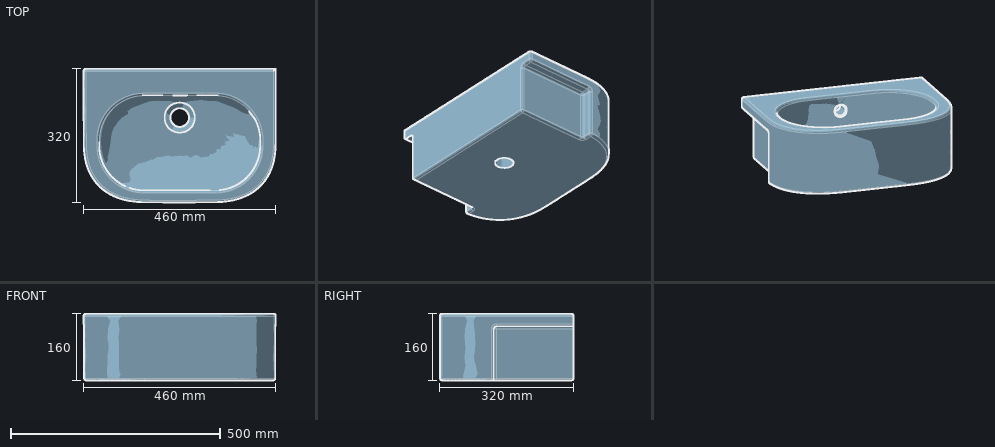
import math

import cadquery as cq

WIDTH = 460.0
DEPTH = 320.0
HEIGHT = 160.0
EDGE_RADIUS = 6.0
TOP_EDGE_RADIUS = 5.9

SIDE_CURVE = [
    (WIDTH / 2, 80.0),
    (229.9, 160.0),
    (224.0, 226.0),
    (190.5, 283.0),
    (130.0, 314.5),
    (60.0, DEPTH),
]

RECESS_DEPTH = 30.0
LIP_THICKNESS = 30.0
RECESS_LENGTH = 190.5
RECESS_CORNER_RADIUS = 6.0

MOUTH_LENGTH = 383.0
MOUTH_WIDTH = 226.0
MOUTH_CORNER_RADIUS = 107.0
MOUTH_BACK_MARGIN = 64.0
MOUTH_EDGE_RADIUS = 6.0
BOWL_DEPTH = 119.0
BOWL_SQUARENESS = 3.4
BOWL_SECTIONS = 7
DRAIN_OVAL_SIZE = 64.0
DRAIN_OVAL_CORNER_RADIUS = 26.0

DRAIN_FROM_BACK = 117.0
DRAIN_RADIUS = 22.0
DRAIN_SEAT_RADIUS = 36.6
DRAIN_SEAT_DEPTH = 9.0

OVERFLOW_RADIUS = 13.0
OVERFLOW_EDGE = 3.0
OVERFLOW_BELOW_TOP = 41.0
OVERFLOW_WALL_INSET = 0.5
OVERFLOW_LENGTH = 40.0

CORNER_STEPS = 8
STRAIGHT_STEPS = 4

CLEARANCE = 1.0

BACK_Y = DEPTH / 2
LIP_Z = HEIGHT - LIP_THICKNESS
FLOOR_Z = HEIGHT - BOWL_DEPTH
MOUTH_Y = BACK_Y - MOUTH_BACK_MARGIN - MOUTH_WIDTH / 2
DRAIN_Y = BACK_Y - DRAIN_FROM_BACK


def lerp(start, end, share):
    """Value a given share of the way from start to end."""
    return start + (end - start) * share


def arc_points(x, y, radius, start_angle):
    """Points on a quarter circle, anticlockwise from start_angle (degrees), both ends included."""
    angles = [math.radians(start_angle + 90 * i / CORNER_STEPS) for i in range(CORNER_STEPS + 1)]
    return [(x + radius * math.cos(a), y + radius * math.sin(a)) for a in angles]


def straight_points(start, end):
    """Points between two ends, both ends left out."""
    shares = [i / STRAIGHT_STEPS for i in range(1, STRAIGHT_STEPS)]
    return [(lerp(start[0], end[0], s), lerp(start[1], end[1], s)) for s in shares]


def make_block():
    """Block curved around the sides and front, with a flat back and a rounded left back corner."""
    right = [(x, BACK_Y - from_back) for x, from_back in SIDE_CURVE]
    left = [(-x, y) for x, y in reversed(right)]
    left_end = (-WIDTH / 2, BACK_Y - EDGE_RADIUS)
    corner_inset = EDGE_RADIUS * (1 - math.sqrt(0.5))
    corner_middle = (-WIDTH / 2 + corner_inset, BACK_Y - corner_inset)
    block = (
        cq.Workplane("XY")
        .moveTo(WIDTH / 2, BACK_Y)
        .spline(
            [*right, (0, -DEPTH / 2), *left, left_end],
            tangents=[(0, -1), (0, 1)],
            includeCurrent=True,
        )
        .threePointArc(corner_middle, (-WIDTH / 2 + EDGE_RADIUS, BACK_Y))
        .close()
        .extrude(HEIGHT)
    )
    return block.faces(">Z").edges().fillet(TOP_EDGE_RADIUS)


def cut_recess(body, side):
    """Recess on one side (-1 left, 1 right) with rounded inner corners."""
    recess = cq.Workplane("XY").box(2 * RECESS_DEPTH, 2 * RECESS_LENGTH, 2 * LIP_Z)
    recess = recess.edges("|X and <Y and >Z").fillet(RECESS_CORNER_RADIUS)
    inner_face = ">X" if side < 0 else "<X"
    recess = recess.faces(inner_face).edges().fillet(RECESS_CORNER_RADIUS)
    return body.cut(recess.translate((side * WIDTH / 2, BACK_Y, 0)))


def is_recess_mouth(edge):
    """True for the edges where a recess opens through the side of the block.

    The back end of each mouth is left out: rounding runs on to the rounded left back corner by itself.
    """
    box = edge.BoundingBox()
    on_side = abs(edge.Center().x) > WIDTH / 2 - RECESS_DEPTH / 2
    below_lip = box.zmax < LIP_Z + CLEARANCE
    above_underside = box.zmax > CLEARANCE
    ahead_of_back = box.ymin < BACK_Y - EDGE_RADIUS - CLEARANCE
    return on_side and below_lip and above_underside and ahead_of_back


def make_body():
    """Recessed block with the recess mouths and the underside rounded."""
    body = make_block()
    for side in (-1, 1):
        body = cut_recess(body, side)
    mouth_edges = [edge for edge in body.edges().vals() if is_recess_mouth(edge)]
    body = body.newObject(mouth_edges).fillet(EDGE_RADIUS)
    return body.faces("<Z").edges().fillet(EDGE_RADIUS)


def bowl_section(angle):
    """Closed curve around the bowl; angle (radians) runs from 0 at the mouth to pi / 2 at the drain."""
    power = 2 / BOWL_SQUARENESS
    share = 1 - max(math.cos(angle), 0) ** power
    z = HEIGHT - BOWL_DEPTH * math.sin(angle) ** power
    half_length = lerp(MOUTH_LENGTH / 2, DRAIN_OVAL_SIZE / 2, share)
    half_width = lerp(MOUTH_WIDTH / 2, DRAIN_OVAL_SIZE / 2, share)
    radius = lerp(MOUTH_CORNER_RADIUS, DRAIN_OVAL_CORNER_RADIUS, share)
    centre_y = lerp(MOUTH_Y, DRAIN_Y, share)
    outline = []
    for quarter in range(4):
        turn = math.radians(90 * quarter + 45)
        x = math.copysign(half_length - radius, math.cos(turn))
        y = centre_y + math.copysign(half_width - radius, math.sin(turn))
        corner = arc_points(x, y, radius, 90 * quarter)
        if outline:
            outline += straight_points(outline[-1], corner[0])
        outline += corner
    outline += straight_points(outline[-1], outline[0])
    points = [cq.Vector(x, y, z) for x, y in outline]
    return cq.Wire.assembleEdges([cq.Edge.makeSpline(points, periodic=True)])


def make_bowl():
    """Smooth loft through sections from the mouth down to the drain."""
    angles = [math.pi / 2 * i / BOWL_SECTIONS for i in range(BOWL_SECTIONS + 1)]
    return cq.Solid.makeLoft([bowl_section(a) for a in angles])


def make_drain():
    """Through hole with a conical seat at the bowl floor."""
    seat_bottom = FLOOR_Z - DRAIN_SEAT_DEPTH
    return (
        cq.Workplane("XZ", origin=(0, DRAIN_Y, 0))
        .polyline([
            (0, 0),
            (DRAIN_RADIUS, 0),
            (DRAIN_RADIUS, seat_bottom),
            (DRAIN_SEAT_RADIUS, FLOOR_Z),
            (DRAIN_SEAT_RADIUS, FLOOR_Z + CLEARANCE),
            (0, FLOOR_Z + CLEARANCE),
        ])
        .close()
        .revolve(360, (0, 0), (0, 1))
    )


def round_mouth(body):
    """Round the edge between the top and the bowl."""
    reach_x = MOUTH_LENGTH / 2 + CLEARANCE
    reach_y = MOUTH_WIDTH / 2 + CLEARANCE
    low = (-reach_x, MOUTH_Y - reach_y, HEIGHT - CLEARANCE)
    high = (reach_x, MOUTH_Y + reach_y, HEIGHT + CLEARANCE)
    mouth = cq.selectors.BoxSelector(low, high, boundingbox=True)
    return body.edges(mouth).fillet(MOUTH_EDGE_RADIUS)


def make_overflow():
    """Blind hole toward the back, flared where it leaves the bowl wall."""
    wall_y = BACK_Y - MOUTH_BACK_MARGIN - OVERFLOW_WALL_INSET
    end_y = wall_y + OVERFLOW_LENGTH
    flare_radius = OVERFLOW_RADIUS + OVERFLOW_EDGE
    return (
        cq.Workplane("XY", origin=(0, 0, HEIGHT - OVERFLOW_BELOW_TOP))
        .polyline([
            (0, wall_y - OVERFLOW_EDGE),
            (flare_radius, wall_y - OVERFLOW_EDGE),
            (flare_radius, wall_y),
            (OVERFLOW_RADIUS, wall_y + OVERFLOW_EDGE),
            (OVERFLOW_RADIUS, end_y),
            (0, end_y),
        ])
        .close()
        .revolve(360, (0, 0), (0, 1))
    )


result = make_body().cut(cq.Workplane(make_bowl()))
result = round_mouth(result)
result = result.cut(make_drain())
result = result.cut(make_overflow())